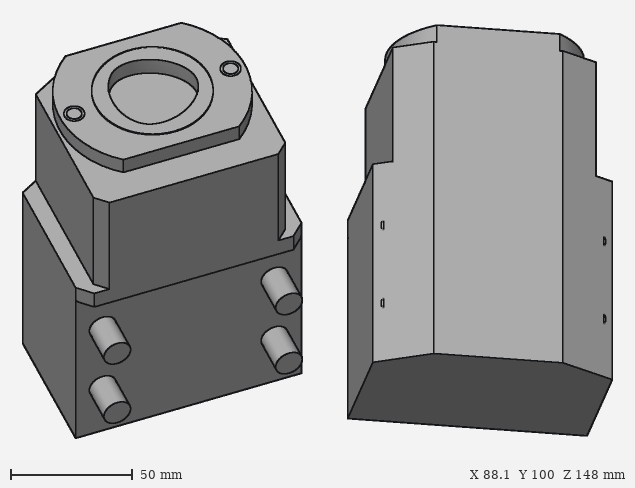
import cadquery as cq
import math


front_x = -32.0
rear_x = 45.9
lower_rear_x = 40.0
front_flat_half_width = 27.0
front_bevel_angle = 30.0
lower_half_width = 50.0
upper_half_width = 42.5
upper_rear_chamfer = 5.0
lower_rear_chamfer = rear_x - lower_rear_x
overhang_z = 81.0
shoulder_z = 89.0
body_top_z = 140.0

total_height = 148.0
face_ring_height = 0.5
flange_top_z = total_height - face_ring_height
flange_radius = 41.0
face_ring_radius = 25.0
socket_mean_radius = 18.5
socket_lobe = 0.9
socket_floor_z = body_top_z
socket_curve_points = 72

seal_offset = 34.6
seal_radius = 3.7
seal_cord_radius = 0.6

pin_end_x = 56.1
pin_radius = 5.9
pin_offset = 38.0
pin_heights = (26.0, 61.0)
head_radius = 9.0
head_fillet = 1.2
head_length = 11.8
head_protrusion = 0.1


def body_section(half_width, rear_chamfer, height):
    """Prism with two long front bevels and two 45 degree rear chamfers."""
    bevel_depth = (half_width - front_flat_half_width) * math.tan(math.radians(front_bevel_angle))
    bevel_end_x = front_x + bevel_depth
    half_outline = [
        (front_x, front_flat_half_width),
        (bevel_end_x, half_width),
        (rear_x - rear_chamfer, half_width),
        (rear_x, half_width - rear_chamfer),
    ]
    mirrored = [(x, -y) for x, y in reversed(half_outline)]
    return cq.Workplane("XY").polyline(half_outline + mirrored).close().extrude(height)


def make_body():
    lower = body_section(lower_half_width, lower_rear_chamfer, shoulder_z)
    upper = body_section(upper_half_width, upper_rear_chamfer, body_top_z)
    rear_recess = cq.Workplane("XY", origin=(lower_rear_x, 0, 0)).box(
        rear_x - lower_rear_x, 2 * lower_half_width, overhang_z, centered=(False, True, False)
    )
    return lower.union(upper).cut(rear_recess)


def make_flange():
    """Round flange with two flats, carrying a slightly raised contact ring."""
    thickness = flange_top_z - body_top_z
    width_across_flats = 2 * abs(front_x)
    base = cq.Workplane("XY", origin=(0, 0, body_top_z))
    disc = base.circle(flange_radius).extrude(thickness)
    flats = base.rect(width_across_flats, 2 * flange_radius).extrude(thickness)
    ring = base.circle(face_ring_radius).extrude(thickness + face_ring_height)
    return disc.intersect(flats).union(ring)


def socket_point(angle):
    """Point on the three-lobed curve of constant width, with one lobe towards +Y."""
    x = (socket_mean_radius * math.sin(angle)
         - 2 * socket_lobe * math.sin(2 * angle)
         - socket_lobe * math.sin(4 * angle))
    y = (socket_mean_radius * math.cos(angle)
         + 2 * socket_lobe * math.cos(2 * angle)
         - socket_lobe * math.cos(4 * angle))
    return (x, y)


def make_socket():
    floor = cq.Workplane("XY", origin=(0, 0, socket_floor_z))
    step = 2 * math.pi / socket_curve_points
    points = [socket_point(index * step) for index in range(socket_curve_points)]
    outline = floor.spline(points, periodic=True).close()
    return outline.extrude(total_height - socket_floor_z)


def make_seal(y):
    """Ring of round cord, half sunk into the flange, level with the contact ring's face."""
    seal = cq.Solid.makeTorus(seal_radius, seal_cord_radius)
    return cq.Workplane(seal).translate((0, y, total_height - seal_cord_radius))


def make_pin(y, z):
    rear_face = cq.Workplane("YZ", origin=(lower_rear_x, y, z))
    return rear_face.circle(pin_radius).extrude(pin_end_x - lower_rear_x)


def make_head(y, z):
    """Round head whose filleted rim stands just proud of the front bevel."""
    normal_x = math.cos(math.radians(front_bevel_angle))
    normal_y = math.sin(math.radians(front_bevel_angle))
    bevel_distance = -front_x * normal_x + front_flat_half_width * normal_y
    fillet_centre_y = pin_offset + head_radius - head_fillet
    rim_reach = fillet_centre_y * normal_y + head_fillet
    fillet_centre_x = (rim_reach - bevel_distance - head_protrusion) / normal_x
    end_face = cq.Workplane("YZ", origin=(fillet_centre_x - head_fillet, y, z))
    head = end_face.circle(head_radius).extrude(head_length)
    return head.faces("<X").edges().fillet(head_fillet)


result = make_body().union(make_flange()).cut(make_socket())
for side in (-1, 1):
    result = result.union(make_seal(side * seal_offset))
    for pin_z in pin_heights:
        result = result.union(make_pin(side * pin_offset, pin_z))
        result = result.union(make_head(side * pin_offset, pin_z))